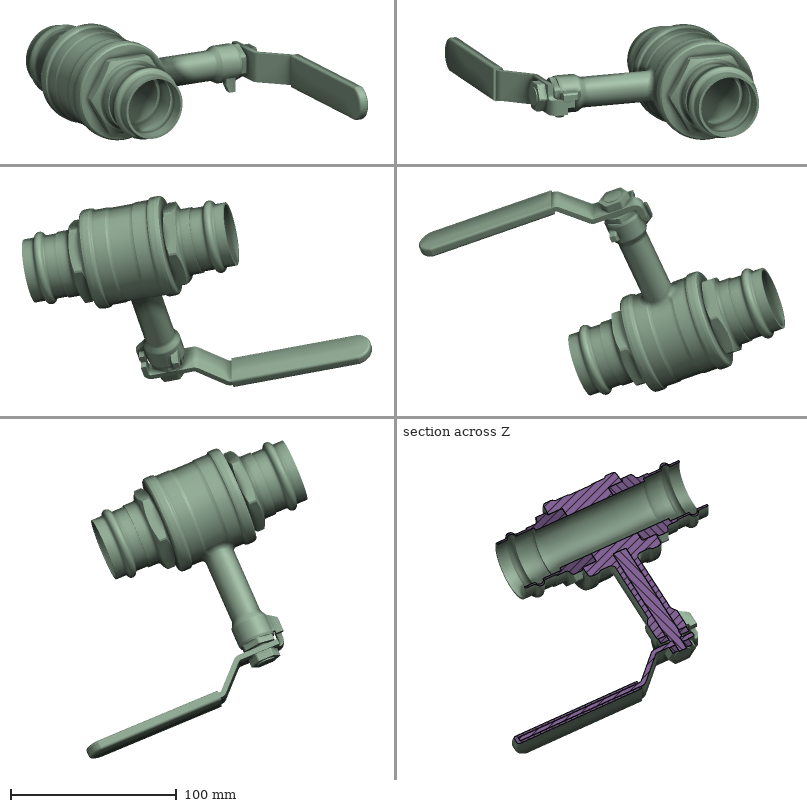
import cadquery as cq
import math


END_X = 62.75
BORE_R = 16.0
TUBE_R = 19.4
TUBE_WALL = 1.5
SOCKET_R = TUBE_R - TUBE_WALL
SOCKET_STOP_X = 37.5
BEAD_X = 52.8
BEAD_R = 2.8
GROOVE_R = 2.6
BEAD_HALF_SPAN = 4.0
COLLAR_R = 20.2
COLLAR_X = 41.7
FLARE_R = 2.0

HEX_ACROSS_FLATS = 46.0
HEX_TRIM_R = 26.2
HEX_FACE_R = COLLAR_R + FLARE_R
HEX_OUTER_X = 33.6
HEX_CHAMFER_X = 1.9

SPIGOT_R = 22.0
SPIGOT_X = 16.0

BODY_END_X = 25.3
END_FACE_R = 24.0
END_CONE_X = 0.4
END_CHAMFER = 0.8
FLANGE_R = 30.5
FLANGE_EDGE_R = 30.2
FLANGE_LAND_OUTER_X = 22.3
FLANGE_LAND_INNER_X = 19.0
FLANGE_INNER_X = 17.9
SHOULDER_R = 29.2
SHOULDER_OUTER_X = 16.2
SHOULDER_INNER_X = 8.4
DRUM_R = 28.7
DRUM_HALF = 6.3

NECK_R = 9.3
NECK_BASE_FILLET = 3.0
NECK_TOP_Y = 70.6
CONE_BOTTOM_Y = 72.8
CONE_BOTTOM_R = 9.6
HEAD_R = 11.5
HEAD_BOTTOM_Y = 76.7
CONE_TOP_Y = 75.6
CONE_TOP_R = 11.2
HEAD_ROUND_R = 2.4
NECK_BLEND_R = 4.4
HEAD_SHOULDER_Y = 87.5
HEAD_TOP_Y = 89.0
HEAD_TOP_R = 11.0

STOP_WIDTH = 4.2
STOP_CHAMFER = 0.9
STOP_ROOT_X = 12.2
STOP_ROOT_WIDTH = 5.4
STOP_ROOT_END_X = 10.1
STOP_ROOT_R = 2.0
SIDE_STOP_REACH = 17.0
SIDE_STOP_TOP_Y = 89.4
SIDE_STOP_TIP_Y = 80.6
LOW_STOP_REACH = 16.1
LOW_STOP_TOP_Y = 85.4
LOW_STOP_TIP_Y = 81.5
LOW_STOP_ROOT_Y = 79.2

STEM_R = 6.6
STEM_END_R = 5.7
STEM_BOTTOM_Y = 22.0
STEM_TOP_Y = 102.8
GLAND_ACROSS_FLATS = 19.4
GLAND_TRIM_R = 10.9
GLAND_TOP_Y = 92.6
NUT_ACROSS_FLATS = 16.8
NUT_TRIM_R = 9.45
NUT_TOP_Y = 102.2

LEVER_T = 3.2
LEVER_HALF_W = 9.2
LEVER_BOTTOM_Y = 94.0
LEVER_TOP_Y = LEVER_BOTTOM_Y + LEVER_T
LEVER_RISE = 16.8
LEVER_RISE_START_X = 16.0
LEVER_TIP_X = 119.0
LEVER_TIP_FILLET = 8.5
BEND_INNER_R = 1.7
CRANK_INNER_R = 2.0
TAB_OUTER_X = 15.5
TAB_BOTTOM_Y = 81.7
TAB_STEP_Y = 86.2
TAB_STEP_Z = 4.9
LEVER_REAR_X = 10.9
REAR_CORNER_R = 3.0

GRIP_HALF_W = 10.4
GRIP_T = 6.2
GRIP_START_X = 35.0
GRIP_ARC_X = 113.8
GRIP_TIP_X = 121.5
GRIP_FILLET = 1.6


def cylinder_y(radius, bottom, top):
    """Cylinder on the stem axis."""
    return cq.Workplane("XZ", origin=(0, bottom, 0)).circle(radius).extrude(bottom - top)


def hexagon(plane, across_flats, turn):
    """Hexagon on a plane; a turn of 0 puts corners on the plane's local x."""
    corner_diameter = across_flats / math.cos(math.pi / 6)
    return plane.transformed(rotate=(0, 0, turn)).polygon(6, corner_diameter)


def add_bead(profile, side):
    """Continue a tube outline inward along X over the seal bead, which blends into the tube."""
    blend_r = (BEAD_HALF_SPAN**2 - BEAD_R**2) / (2 * BEAD_R)
    slope = math.atan2(blend_r, BEAD_HALF_SPAN)
    blend_half_turn = math.pi / 4 - slope / 2

    def bead_point(way):
        return (side(BEAD_X + way * BEAD_R * math.cos(slope)), TUBE_R + BEAD_R * math.sin(slope))

    def blend_point(way):
        x = BEAD_X + way * (BEAD_HALF_SPAN - blend_r * math.sin(blend_half_turn))
        return (side(x), TUBE_R + blend_r - blend_r * math.cos(blend_half_turn))

    return (
        profile.lineTo(side(BEAD_X + BEAD_HALF_SPAN), TUBE_R)
        .threePointArc(blend_point(1), bead_point(1))
        .threePointArc((side(BEAD_X), TUBE_R + BEAD_R), bead_point(-1))
        .threePointArc(blend_point(-1), (side(BEAD_X - BEAD_HALF_SPAN), TUBE_R))
    )


def press_end(sign):
    """Press end with its seal bead, wrench hexagon and the spigot seated in the body."""

    def side(x):
        return sign * x

    diagonal = math.sqrt(0.5)
    profile = cq.Workplane("XY").moveTo(side(END_X), SOCKET_R).lineTo(side(END_X), TUBE_R)
    profile = (
        add_bead(profile, side)
        .lineTo(side(COLLAR_X), TUBE_R)
        .lineTo(side(COLLAR_X), COLLAR_R)
        .lineTo(side(HEX_OUTER_X + FLARE_R), COLLAR_R)
        .threePointArc(
            (side(HEX_OUTER_X + FLARE_R * (1 - diagonal)), COLLAR_R + FLARE_R * (1 - diagonal)),
            (side(HEX_OUTER_X), HEX_FACE_R),
        )
        .lineTo(side(BODY_END_X), HEX_FACE_R)
        .lineTo(side(BODY_END_X), SPIGOT_R)
        .lineTo(side(SPIGOT_X), SPIGOT_R)
        .lineTo(side(SPIGOT_X), BORE_R)
        .lineTo(side(SOCKET_STOP_X), BORE_R)
        .lineTo(side(SOCKET_STOP_X), SOCKET_R)
        .lineTo(side(BEAD_X - GROOVE_R), SOCKET_R)
        .threePointArc((side(BEAD_X), SOCKET_R + GROOVE_R), (side(BEAD_X + GROOVE_R), SOCKET_R))
        .close()
    )
    tube = profile.revolve(360, (0, 0, 0), (1, 0, 0))

    hex_plane = cq.Workplane("YZ", origin=(side(BODY_END_X), 0, 0))
    hex_bar = hexagon(hex_plane, HEX_ACROSS_FLATS, 0).extrude(side(HEX_OUTER_X - BODY_END_X))
    blank = (
        cq.Workplane("XY")
        .polyline(
            [
                (side(HEX_OUTER_X), BORE_R),
                (side(HEX_OUTER_X), HEX_FACE_R),
                (side(HEX_OUTER_X - HEX_CHAMFER_X), HEX_TRIM_R),
                (side(BODY_END_X + HEX_CHAMFER_X), HEX_TRIM_R),
                (side(BODY_END_X), HEX_FACE_R),
                (side(BODY_END_X), BORE_R),
            ]
        )
        .close()
        .revolve(360, (0, 0, 0), (1, 0, 0))
    )
    return tube.union(hex_bar.intersect(blank))


def body_shell():
    """Turned drum with two flanges, as a solid block without its bores."""
    hollow_drop = SHOULDER_R - DRUM_R
    hollow_run = SHOULDER_INNER_X - DRUM_HALF
    hollow_r = (hollow_run**2 + hollow_drop**2) / (2 * hollow_drop)
    half = (
        cq.Workplane("XY")
        .moveTo(0, 0)
        .lineTo(0, DRUM_R)
        .lineTo(DRUM_HALF, DRUM_R)
        .radiusArc((SHOULDER_INNER_X, SHOULDER_R), -hollow_r)
        .lineTo(SHOULDER_OUTER_X, SHOULDER_R)
        .radiusArc((FLANGE_INNER_X, FLANGE_EDGE_R), -(FLANGE_INNER_X - SHOULDER_OUTER_X))
        .lineTo(FLANGE_LAND_INNER_X, FLANGE_R)
        .lineTo(FLANGE_LAND_OUTER_X, FLANGE_R)
        .lineTo(BODY_END_X - END_CONE_X - END_CHAMFER, FLANGE_EDGE_R)
        .lineTo(BODY_END_X - END_CONE_X, FLANGE_EDGE_R - END_CHAMFER)
        .lineTo(BODY_END_X, END_FACE_R)
        .lineTo(BODY_END_X, 0)
        .close()
        .revolve(360, (0, 0, 0), (1, 0, 0))
    )
    return half.union(half.mirror("YZ"))


def neck_head():
    """Turned head on top of the neck."""
    return (
        cq.Workplane("XY")
        .moveTo(0, NECK_TOP_Y)
        .lineTo(NECK_R, NECK_TOP_Y)
        .radiusArc((CONE_BOTTOM_R, CONE_BOTTOM_Y), NECK_BLEND_R)
        .lineTo(CONE_TOP_R, CONE_TOP_Y)
        .radiusArc((HEAD_R, HEAD_BOTTOM_Y), -HEAD_ROUND_R)
        .lineTo(HEAD_R, HEAD_SHOULDER_Y)
        .lineTo(HEAD_TOP_R, HEAD_TOP_Y)
        .lineTo(0, HEAD_TOP_Y)
        .close()
        .revolve(360, (0, 0, 0), (0, 1, 0))
    )


def side_stop():
    """Stop beside the lever tab: a side outline crossed with a plan that flares into the head."""
    ledge_x = TAB_OUTER_X - LEVER_T
    elevation = (
        cq.Workplane("XY")
        .polyline(
            [
                (-STEM_R, CONE_TOP_Y),
                (-STEM_R, HEAD_SHOULDER_Y),
                (-ledge_x, HEAD_SHOULDER_Y),
                (-ledge_x, SIDE_STOP_TOP_Y),
                (-SIDE_STOP_REACH, SIDE_STOP_TOP_Y),
                (-SIDE_STOP_REACH, SIDE_STOP_TIP_Y),
                (-HEAD_R, HEAD_BOTTOM_Y),
                (-CONE_BOTTOM_R, CONE_TOP_Y),
            ]
        )
        .close()
        .extrude(STOP_ROOT_WIDTH)
    )
    plan = (
        cq.Workplane("XZ", origin=(0, SIDE_STOP_TOP_Y, 0))
        .moveTo(-STEM_R, 0)
        .lineTo(-SIDE_STOP_REACH, 0)
        .lineTo(-SIDE_STOP_REACH, STOP_WIDTH - STOP_CHAMFER)
        .lineTo(-SIDE_STOP_REACH + STOP_CHAMFER, STOP_WIDTH)
        .lineTo(-STOP_ROOT_X, STOP_WIDTH)
        .radiusArc((-STOP_ROOT_END_X, STOP_ROOT_WIDTH), -STOP_ROOT_R)
        .lineTo(-STEM_R, STOP_ROOT_WIDTH)
        .close()
        .extrude(SIDE_STOP_TOP_Y - CONE_TOP_Y)
    )
    return elevation.intersect(plan)


def low_stop():
    """Stop a quarter turn further round, which meets the deep half of the lever tab."""
    return (
        cq.Workplane("YZ", origin=(TAB_STEP_Z, 0, 0))
        .polyline(
            [
                (LOW_STOP_TOP_Y, -STEM_R),
                (LOW_STOP_TOP_Y, -LOW_STOP_REACH),
                (LOW_STOP_TIP_Y, -LOW_STOP_REACH),
                (LOW_STOP_ROOT_Y, -HEAD_R),
                (LOW_STOP_ROOT_Y, -STEM_R),
            ]
        )
        .close()
        .extrude(STOP_WIDTH)
        .faces("<X")
        .edges(">Y or <Z")
        .chamfer(STOP_CHAMFER)
    )


def valve_body():
    """Body with neck and stops, bored for the flow, the spigots and the stem."""
    neck = cylinder_y(NECK_R, STEM_BOTTOM_Y, NECK_TOP_Y)
    block = body_shell().union(neck)
    reach = NECK_R + NECK_BASE_FILLET / 2
    base_box = [(-reach, STEM_BOTTOM_Y, -reach), (reach, FLANGE_R, reach)]
    base_edges = cq.selectors.BoxSelector(*base_box, boundingbox=True)
    block = block.edges(base_edges).fillet(NECK_BASE_FILLET)
    block = block.union(neck_head()).union(side_stop()).union(low_stop())
    bore = cq.Workplane("YZ").circle(BORE_R).extrude(BODY_END_X, both=True)
    block = block.cut(bore).cut(cylinder_y(STEM_R, STEM_BOTTOM_Y, HEAD_TOP_Y))
    for sign in (-1, 1):
        recess = cq.Workplane("YZ", origin=(sign * SPIGOT_X, 0, 0)).circle(SPIGOT_R)
        block = block.cut(recess.extrude(sign * (BODY_END_X - SPIGOT_X)))
    return block


def valve_stem():
    """Stem from the neck up through the gland nut, the lever and the lever nut."""
    shank = cylinder_y(STEM_R, STEM_BOTTOM_Y, LEVER_BOTTOM_Y)
    return shank.union(cylinder_y(STEM_END_R, LEVER_BOTTOM_Y, STEM_TOP_Y))


def hex_nut(across_flats, trim_r, hole_r, bottom, top, turn):
    """Hexagon nut on the stem axis with its corners truncated by a cylinder."""
    prism = hexagon(cq.Workplane("XZ", origin=(0, bottom, 0)), across_flats, turn).extrude(bottom - top)
    return prism.intersect(cylinder_y(trim_r, bottom, top)).cut(cylinder_y(hole_r, bottom, top))


def lever_arm():
    """Bent strip with a stop tab at the rear and a cranked handle blade at the front."""
    mitre = LEVER_T / 2 * math.tan(math.pi / 8)
    tab_inner_x = TAB_OUTER_X - LEVER_T
    rise_end_x = LEVER_RISE_START_X + LEVER_RISE
    inner_bends = [
        (-tab_inner_x, LEVER_BOTTOM_Y),
        (LEVER_RISE_START_X - mitre, LEVER_TOP_Y),
        (rise_end_x + mitre, LEVER_BOTTOM_Y + LEVER_RISE),
    ]
    outer_bends = [
        (-TAB_OUTER_X, LEVER_TOP_Y),
        (LEVER_RISE_START_X + mitre, LEVER_BOTTOM_Y),
        (rise_end_x - mitre, LEVER_TOP_Y + LEVER_RISE),
    ]
    inner_radii = [BEND_INNER_R, CRANK_INNER_R, CRANK_INNER_R]
    strip = (
        cq.Workplane("XY")
        .polyline(
            [
                (-TAB_OUTER_X, TAB_BOTTOM_Y),
                outer_bends[0],
                inner_bends[1],
                outer_bends[2],
                (LEVER_TIP_X, LEVER_TOP_Y + LEVER_RISE),
                (LEVER_TIP_X, LEVER_BOTTOM_Y + LEVER_RISE),
                inner_bends[2],
                outer_bends[1],
                inner_bends[0],
                (-tab_inner_x, TAB_BOTTOM_Y),
            ]
        )
        .close()
        .extrude(LEVER_HALF_W, both=True)
    )
    for inner, outer, radius in zip(inner_bends, outer_bends, inner_radii):
        strip = strip.edges(cq.selectors.NearestToPointSelector((*inner, 0))).fillet(radius)
        strip = strip.edges(cq.selectors.NearestToPointSelector((*outer, 0))).fillet(radius + LEVER_T)

    strip = strip.edges("|Y").edges(">X").fillet(LEVER_TIP_FILLET)
    beyond_x = TAB_OUTER_X + LEVER_T
    beyond_z = LEVER_HALF_W + LEVER_T
    rear_cut = (
        cq.Workplane("XZ", origin=(0, LEVER_TOP_Y, 0))
        .moveTo(-LEVER_REAR_X, beyond_z)
        .lineTo(-LEVER_REAR_X, REAR_CORNER_R)
        .radiusArc((-LEVER_REAR_X - REAR_CORNER_R, 0), REAR_CORNER_R)
        .lineTo(-beyond_x, 0)
        .lineTo(-beyond_x, beyond_z)
        .close()
        .extrude(LEVER_TOP_Y - TAB_BOTTOM_Y)
    )
    tab_height = LEVER_BOTTOM_Y - BEND_INNER_R - TAB_BOTTOM_Y
    tab_side = cq.Workplane("XY").box(LEVER_T, tab_height, LEVER_HALF_W, centered=False)
    tab_side = tab_side.translate((-TAB_OUTER_X, TAB_BOTTOM_Y, 0))
    step_height = TAB_STEP_Y - TAB_BOTTOM_Y
    tab_step = cq.Workplane("XY").box(LEVER_T, step_height, LEVER_HALF_W - TAB_STEP_Z, centered=False)
    tab_step = tab_step.translate((-TAB_OUTER_X, TAB_BOTTOM_Y, -LEVER_HALF_W))
    stem_hole = cylinder_y(STEM_END_R, LEVER_BOTTOM_Y, LEVER_TOP_Y)
    return strip.cut(rear_cut).cut(tab_side).cut(tab_step).cut(stem_hole)


def grip_sleeve(lever):
    """Rounded sleeve that fits over the lever blade."""
    top_y = LEVER_BOTTOM_Y + LEVER_RISE + (LEVER_T + GRIP_T) / 2
    sleeve = (
        cq.Workplane("XZ", origin=(0, top_y, 0))
        .moveTo(GRIP_START_X, -GRIP_HALF_W)
        .lineTo(GRIP_ARC_X, -GRIP_HALF_W)
        .threePointArc((GRIP_TIP_X, 0), (GRIP_ARC_X, GRIP_HALF_W))
        .lineTo(GRIP_START_X, GRIP_HALF_W)
        .close()
        .extrude(GRIP_T)
    )
    sleeve = sleeve.faces("<Y or >Y").edges("not <X").fillet(GRIP_FILLET)
    return sleeve.cut(lever)


body = valve_body()
press_ends = [press_end(sign) for sign in (-1, 1)]
stem = valve_stem()
gland_nut = hex_nut(GLAND_ACROSS_FLATS, GLAND_TRIM_R, STEM_R, HEAD_TOP_Y, GLAND_TOP_Y, 30)
lever_nut = hex_nut(NUT_ACROSS_FLATS, NUT_TRIM_R, STEM_END_R, LEVER_TOP_Y, NUT_TOP_Y, 0)
lever = lever_arm()
grip = grip_sleeve(lever)

result = cq.Compound.makeCompound(
    [
        body.val(),
        *[end.val() for end in press_ends],
        stem.val(),
        gland_nut.val(),
        lever_nut.val(),
        lever.val(),
        grip.val(),
    ]
)